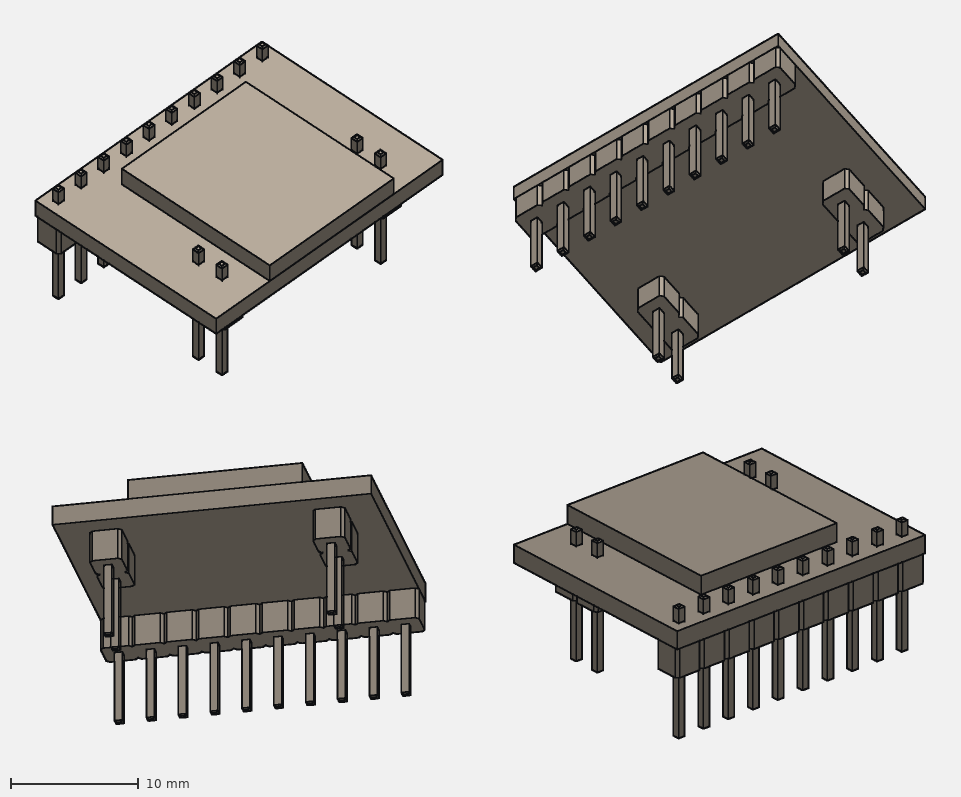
import cadquery as cq

PITCH = 2.55
ROW_PINS = 10
PAIR_PINS = 2

BOARD_LENGTH = ROW_PINS * PITCH
BOARD_WIDTH = 19.55
BOARD_THICKNESS = 1.6

MODULE_WIDTH = 16.0
MODULE_LENGTH = 13.9
MODULE_HEIGHT = 1.65
MODULE_BACK_MARGIN = 5.49

OVERALL_HEIGHT = 11.8

BLOCK_HEIGHT = 2.57
BLOCK_CHAMFER = 0.25
PIN_SIDE = 0.64
PIN_TOP = 1.35
PIN_BOTTOM = MODULE_HEIGHT - OVERALL_HEIGHT
TIP_HEIGHT = 0.1
TIP_INSET = 0.15

ROW_X = PITCH / 2
ROW_START_Y = -(ROW_PINS - 1) * PITCH / 2
PITCHES_ROW_TO_PAIR = 5
PAIR_START_X = ROW_X + PITCHES_ROW_TO_PAIR * PITCH
PAIR_Y = -ROW_START_Y - PITCH

row_points = [(ROW_X, ROW_START_Y + i * PITCH) for i in range(ROW_PINS)]
pair_rows = [
    [(PAIR_START_X + i * PITCH, y) for i in range(PAIR_PINS)]
    for y in (-PAIR_Y, PAIR_Y)
]
header_rows = [row_points, *pair_rows]


def make_board():
    """Flat board with a square hole for every pin."""
    board = cq.Workplane("XY").box(
        BOARD_WIDTH, BOARD_LENGTH, BOARD_THICKNESS, centered=(False, True, False)
    ).translate((0, 0, -BOARD_THICKNESS))
    pin_holes = (
        cq.Workplane("XY")
        .pushPoints([point for row in header_rows for point in row])
        .rect(PIN_SIDE, PIN_SIDE)
        .extrude(-BOARD_THICKNESS)
    )
    return board.cut(pin_holes)


def make_module():
    """Plain rectangular module on the top face of the board."""
    back_y = BOARD_LENGTH / 2 - MODULE_BACK_MARGIN
    return cq.Workplane("XY").box(
        MODULE_WIDTH, MODULE_LENGTH, MODULE_HEIGHT, centered=False
    ).translate((BOARD_WIDTH - MODULE_WIDTH, back_y - MODULE_LENGTH, 0))


def make_tip(end_z, direction):
    """Tapered pin end that narrows toward end_z; direction is +1 up or -1 down."""
    narrow_side = PIN_SIDE - 2 * TIP_INSET
    return (
        cq.Workplane("XY", origin=(0, 0, end_z - direction * TIP_HEIGHT))
        .rect(PIN_SIDE, PIN_SIDE)
        .workplane(offset=direction * TIP_HEIGHT)
        .rect(narrow_side, narrow_side)
        .loft()
    )


def make_contact():
    """One block with its pin, on the Z axis."""
    block = (
        cq.Workplane("XY", origin=(0, 0, -BOARD_THICKNESS))
        .rect(PITCH, PITCH)
        .extrude(-BLOCK_HEIGHT)
        .edges("|Z")
        .chamfer(BLOCK_CHAMFER)
    )
    shaft = (
        cq.Workplane("XY", origin=(0, 0, PIN_BOTTOM + TIP_HEIGHT))
        .rect(PIN_SIDE, PIN_SIDE)
        .extrude(PIN_TOP - PIN_BOTTOM - 2 * TIP_HEIGHT)
    )
    return block.union(shaft).union(make_tip(PIN_TOP, 1)).union(make_tip(PIN_BOTTOM, -1))


def make_header(points):
    """Row of contacts joined side by side into one solid."""
    contact = make_contact()
    header = contact.translate((*points[0], 0))
    for x, y in points[1:]:
        header = header.union(contact.translate((x, y, 0)))
    return header.clean()


board = make_board()
module = make_module()
headers = [make_header(row) for row in header_rows]

result = cq.Compound.makeCompound(
    [*board.solids().vals(), module.val(), *[header.solids().val() for header in headers]]
)